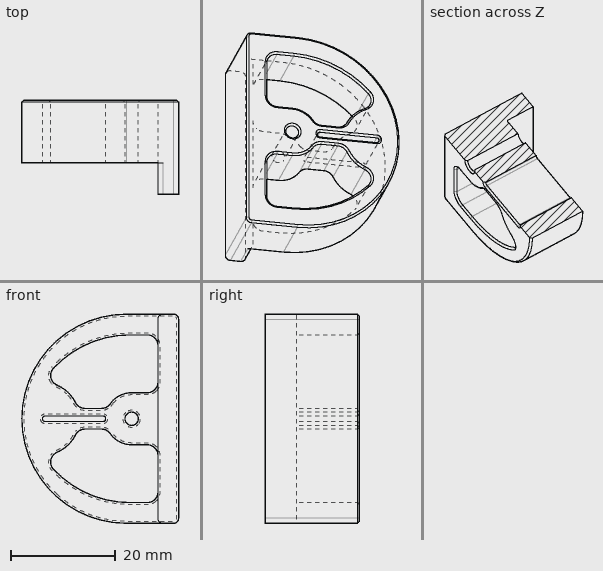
import cadquery as cq
import math

BODY_RADIUS = 20.0
BODY_DEPTH = 12.0
FLAT_X = 10.0
OUTER_CORNER_RADIUS = 1.0

BACK_CHAMFER = 0.4

BAR_WIDTH = 4.0
BAR_PROJECTION = 6.0
BAR_INNER_X = FLAT_X - BAR_WIDTH

HUB_X = 1.0
HUB_RADIUS = 5.0
HOLE_DIAMETER = 2.5

ROOT_X = -16.0
ROOT_RADIUS = 7.0

WEB_HALF_HEIGHT = 2.0
SLOT_START_X = ROOT_X
SLOT_LENGTH = 12.0
SLOT_HEIGHT = 1.0
SLOT_CORNER_RADIUS = 0.4

RIM_THICKNESS = 4.0
WINDOW_TOP_Z = BODY_RADIUS - RIM_THICKNESS
WINDOW_ARC_RADIUS = 20.0
WINDOW_ARC_X = 0.7
WINDOW_ARC_Z = WINDOW_TOP_Z - WINDOW_ARC_RADIUS
WINDOW_CORNER_RADIUS = 2.0

TOLERANCE = 1e-3


def front_plane():
    """XZ sketch plane of the body's front face; positive extrusions run towards -Y, negative towards +Y."""
    return cq.Workplane("XZ")


def point_on_circle(center, radius, angle):
    return (center[0] + radius * math.cos(angle), center[1] + radius * math.sin(angle))


def circle_crossing(center_a, radius_a, center_b, radius_b):
    """Crossing of two circles that lies to the left of the direction from a to b."""
    distance = math.dist(center_a, center_b)
    along = (distance**2 + radius_a**2 - radius_b**2) / (2 * distance)
    direction = math.atan2(center_b[1] - center_a[1], center_b[0] - center_a[0])
    return point_on_circle(center_a, radius_a, direction + math.acos(along / radius_a))


def arc_midpoint(center, radius, start, end):
    """Middle of the shorter arc between two points of a circle."""
    angle = math.atan2(
        (start[1] + end[1]) / 2 - center[1],
        (start[0] + end[0]) / 2 - center[0],
    )
    return point_on_circle(center, radius, angle)


def make_body():
    return (
        front_plane()
        .moveTo(FLAT_X, BODY_RADIUS)
        .lineTo(0, BODY_RADIUS)
        .threePointArc((-BODY_RADIUS, 0), (0, -BODY_RADIUS))
        .lineTo(FLAT_X, -BODY_RADIUS)
        .close()
        .extrude(-BODY_DEPTH)
        .edges("|Y and >X")
        .fillet(OUTER_CORNER_RADIUS)
    )


def make_bar():
    return (
        front_plane()
        .center(BAR_INNER_X + BAR_WIDTH / 2, 0)
        .rect(BAR_WIDTH, 2 * BODY_RADIUS)
        .extrude(BAR_PROJECTION)
        .edges("|Y")
        .fillet(OUTER_CORNER_RADIUS)
    )


def make_upper_window():
    """Cutter bounded by the rim, the bar, the hub, the web and the web root."""
    hub = (HUB_X, 0)
    root = (ROOT_X, 0)
    rim_arc = (WINDOW_ARC_X, WINDOW_ARC_Z)

    hub_top = (HUB_X, HUB_RADIUS)
    rim_arc_top = (WINDOW_ARC_X, WINDOW_TOP_Z)
    hub_end = (HUB_X - math.sqrt(HUB_RADIUS**2 - WEB_HALF_HEIGHT**2), WEB_HALF_HEIGHT)
    root_end = (ROOT_X + math.sqrt(ROOT_RADIUS**2 - WEB_HALF_HEIGHT**2), WEB_HALF_HEIGHT)
    tip = circle_crossing(root, ROOT_RADIUS, rim_arc, WINDOW_ARC_RADIUS)

    window = (
        front_plane()
        .moveTo(BAR_INNER_X, WINDOW_TOP_Z)
        .lineTo(BAR_INNER_X, HUB_RADIUS)
        .lineTo(*hub_top)
        .threePointArc(arc_midpoint(hub, HUB_RADIUS, hub_top, hub_end), hub_end)
        .lineTo(*root_end)
        .threePointArc(arc_midpoint(root, ROOT_RADIUS, root_end, tip), tip)
        .threePointArc(arc_midpoint(rim_arc, WINDOW_ARC_RADIUS, tip, rim_arc_top), rim_arc_top)
        .close()
        .extrude(-BODY_DEPTH)
    )

    def is_corner(edge):
        x = edge.Center().x
        return abs(x - HUB_X) > TOLERANCE and abs(x - WINDOW_ARC_X) > TOLERANCE

    return window.edges("|Y").filter(is_corner).fillet(WINDOW_CORNER_RADIUS)


def make_hole():
    return front_plane().center(HUB_X, 0).circle(HOLE_DIAMETER / 2).extrude(-BODY_DEPTH)


def make_slot():
    return (
        front_plane()
        .center(SLOT_START_X + SLOT_LENGTH / 2, 0)
        .rect(SLOT_LENGTH, SLOT_HEIGHT)
        .extrude(-BODY_DEPTH)
        .edges("|Y")
        .fillet(SLOT_CORNER_RADIUS)
    )


upper_window = make_upper_window()
lower_window = upper_window.mirror("XY")

result = (
    make_body()
    .union(make_bar())
    .cut(upper_window)
    .cut(lower_window)
    .cut(make_hole())
    .cut(make_slot())
    .faces(">Y")
    .chamfer(BACK_CHAMFER)
)